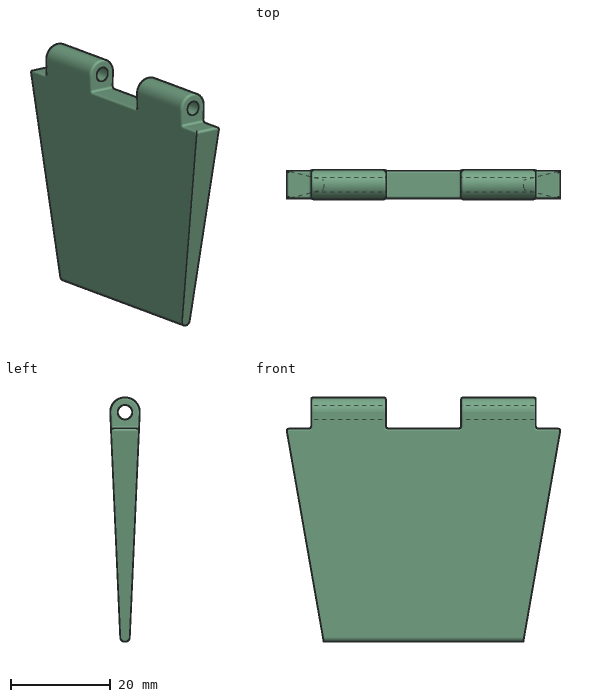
import cadquery as cq
import math

width = 54.8
height = 49.0
tip_width = 40.0

hinge_diameter = 6.0
hinge_radius = hinge_diameter / 2
tip_radius = 1.0
bore_diameter = 2.85
hinge_axis_z = height - hinge_radius

shoulder_z = 42.75
knuckle_width = 15.0
knuckle_center_x = 15.0
edge_radius = 0.5

half_tip = tip_width / 2
side_angle = math.atan2((width - tip_width) / 2, shoulder_z)
corner_angle = math.pi / 2 - side_angle
corner_loss = edge_radius / math.tan(corner_angle / 2) - edge_radius
half_shoulder = width / 2 + corner_loss


def wedge():
    """Tapered side section with round ends, extruded along X."""
    return (
        cq.Workplane("YZ")
        .moveTo(-tip_radius, tip_radius)
        .threePointArc((0, 0), (tip_radius, tip_radius))
        .lineTo(hinge_radius, hinge_axis_z)
        .threePointArc((0, height), (-hinge_radius, hinge_axis_z))
        .close()
        .extrude(half_shoulder, both=True)
    )


def front_outline():
    """Trapezoidal flap plus two knuckles, extruded through the thickness."""
    flap = (
        cq.Workplane("XZ")
        .polyline([
            (-half_tip, 0),
            (half_tip, 0),
            (half_shoulder, shoulder_z),
            (-half_shoulder, shoulder_z),
        ])
        .close()
        .extrude(2 * hinge_radius, both=True)
    )
    knuckle_height = height - shoulder_z
    knuckle_center_z = shoulder_z + knuckle_height / 2
    knuckles = (
        cq.Workplane("XZ")
        .pushPoints([(side * knuckle_center_x, knuckle_center_z) for side in (-1, 1)])
        .rect(knuckle_width, knuckle_height)
        .extrude(2 * hinge_radius, both=True)
    )
    return flap.union(knuckles)


def rim_edges(body):
    """Outer edges of the knuckle ends and the shoulders; the root arcs follow by tangency."""
    knuckle_ends = body.faces("|X").edges("not |Y")
    shoulders = body.faces("|Z")
    shoulder_sides = shoulders.edges("|X")
    shoulder_tips = shoulders.edges(">X or <X")
    return knuckle_ends.add(shoulder_sides).add(shoulder_tips)


def inner_corner_edges(body):
    """Edges along Y where the knuckles rise from the shoulder."""
    reach = knuckle_center_x + knuckle_width / 2 + edge_radius
    corner_zone = cq.selectors.BoxSelector(
        (-reach, -width, shoulder_z - edge_radius),
        (reach, width, shoulder_z + edge_radius),
    )
    return body.edges("|Y").edges(corner_zone)


def pin_bore():
    """Straight hole through both knuckles along the hinge axis."""
    return (
        cq.Workplane("YZ")
        .center(0, hinge_axis_z)
        .circle(bore_diameter / 2)
        .extrude(width, both=True)
    )


body = wedge().intersect(front_outline())
body = inner_corner_edges(body).fillet(edge_radius)

body = rim_edges(body).fillet(edge_radius)

result = body.cut(pin_bore())